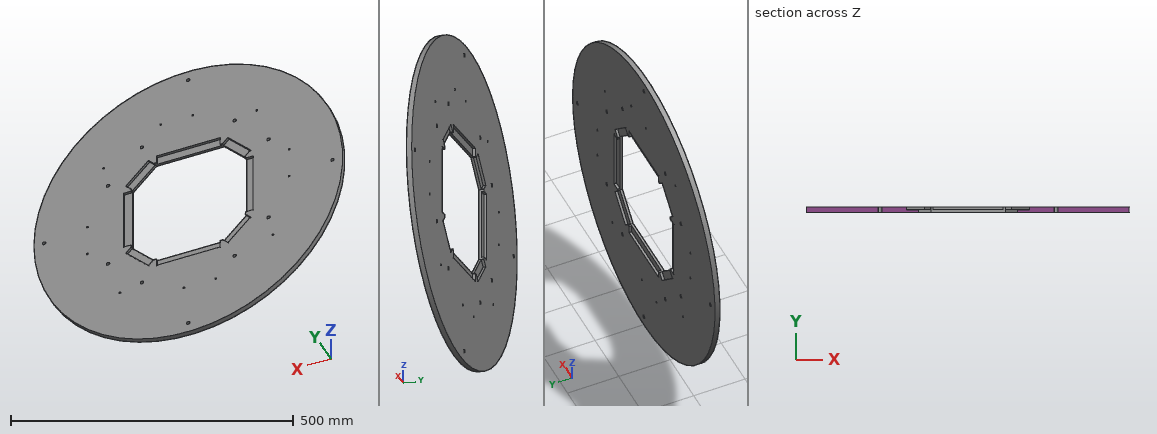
import cadquery as cq
import math

DISC_DIAMETER = 600.0
DISC_THICKNESS = 10.0

WINDOW_WIDTH = 222.0
WINDOW_CORNER_CUT = 45.0

LEDGE_THICKNESS = 5.0
LEDGE_WIDTH = 15.0
SIDE_LEDGE_LENGTH = 124.0
CORNER_LEDGE_LENGTH = 62.0

MOUNTING_HOLE_DIAMETER = 6.1
RIM_HOLE_RADIUS = 280.0
INNER_HOLE_RADIUS = 180.0
INNER_HOLE_ANGLES = (30.0, 60.0)

SMALL_HOLE_DIAMETER = 3.0
SMALL_HOLE_POSITIONS = [(-8.5, 196.0), (53.4, 196.0), (-133.0, 164.6)]

BACK_Y = DISC_THICKNESS / 2
SIDE_DISTANCE = WINDOW_WIDTH / 2
CORNER_DISTANCE = (WINDOW_WIDTH - WINDOW_CORNER_CUT) / math.sqrt(2)

QUARTER_ANGLES = (0, 90, 180, 270)
HALF_QUARTER_ANGLE = 45


def back_plane():
    """Sketch plane on the back face: local x is +X, local y is +Z, extruding toward -Y."""
    return cq.Workplane("XZ", origin=(0, BACK_Y, 0))


def polar_point(radius, angle):
    """Point in the disc plane at an angle in degrees from +X toward +Z."""
    return (radius * math.cos(math.radians(angle)), radius * math.sin(math.radians(angle)))


def quarter_turn_copies(points):
    """Repeat the points at every quarter turn about the disc axis."""
    copies = []
    for x, z in points:
        radius = math.hypot(x, z)
        start_angle = math.degrees(math.atan2(z, x))
        copies += [polar_point(radius, start_angle + turn) for turn in QUARTER_ANGLES]
    return copies


def make_disc():
    return back_plane().circle(DISC_DIAMETER / 2).extrude(DISC_THICKNESS)


def make_window():
    square = back_plane().rect(WINDOW_WIDTH, WINDOW_WIDTH).extrude(DISC_THICKNESS)
    return square.edges("|Y").chamfer(WINDOW_CORNER_CUT)


def make_ledge_recess(edge_distance, length, angle):
    """Rectangular recess outside one window edge, whose normal points along the angle."""
    recess_depth = DISC_THICKNESS - LEDGE_THICKNESS
    middle = edge_distance + LEDGE_WIDTH / 2
    recess = back_plane().center(middle, 0).rect(LEDGE_WIDTH, length).extrude(recess_depth)
    return recess.rotate((0, 0, 0), (0, 1, 0), angle)


def make_holes(points, diameter):
    return back_plane().pushPoints(quarter_turn_copies(points)).circle(diameter / 2).extrude(DISC_THICKNESS)


mounting_points = [polar_point(RIM_HOLE_RADIUS, 0)]
mounting_points += [polar_point(INNER_HOLE_RADIUS, angle) for angle in INNER_HOLE_ANGLES]

result = make_disc().cut(make_window())
for turn in QUARTER_ANGLES:
    result = result.cut(make_ledge_recess(SIDE_DISTANCE, SIDE_LEDGE_LENGTH, turn))
    result = result.cut(make_ledge_recess(CORNER_DISTANCE, CORNER_LEDGE_LENGTH, turn + HALF_QUARTER_ANGLE))
result = result.cut(make_holes(mounting_points, MOUNTING_HOLE_DIAMETER))
result = result.cut(make_holes(SMALL_HOLE_POSITIONS, SMALL_HOLE_DIAMETER))